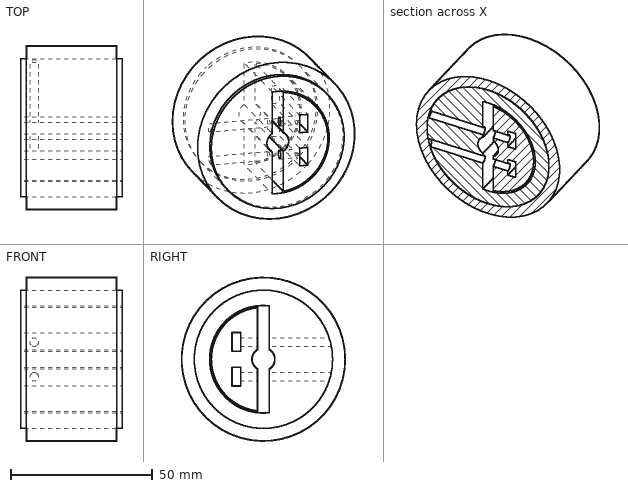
import cadquery as cq

tyre_diameter = 58.0
tyre_width = 32.0
hub_diameter = 49.0
hub_width = 36.0
pocket_diameter = 38.0
clamp_diameter = 37.0
shaft_diameter = 8.0
slot_width = 4.05
window_width = 3.0
window_height = 6.55
window_offset = 9.55
screw_spacing = 12.3
screw_diameter = 3.0
screw_inset = 4.7

slot_half = slot_width / 2
screw_x = screw_inset - hub_width / 2
screw_heights = [-screw_spacing / 2, screw_spacing / 2]


def axial_cylinder(diameter, length):
    """Cylinder along X, centred on the origin."""
    return cq.Workplane("YZ", origin=(-length / 2, 0, 0)).circle(diameter / 2).extrude(length)


def segment(diameter, flat_y):
    """Full-width part of a cylinder that lies on the -Y side of a flat at flat_y."""
    depth = flat_y + diameter / 2
    keep = cq.Workplane("XY").box(hub_width, depth, diameter)
    keep = keep.translate((0, flat_y - depth / 2, 0))
    return axial_cylinder(diameter, hub_width).intersect(keep)


def screw_hole(start_y, end_y, z):
    """Cutter along Y for one clamping screw."""
    return cq.Workplane(
        cq.Solid.makeCylinder(
            screw_diameter / 2, end_y - start_y, cq.Vector(screw_x, start_y, z), cq.Vector(0, 1, 0)
        )
    )


def make_tyre():
    return axial_cylinder(tyre_diameter, tyre_width).cut(axial_cylinder(hub_diameter, tyre_width))


def make_hub():
    hub = axial_cylinder(hub_diameter, hub_width)
    hub = hub.cut(segment(pocket_diameter, slot_half))
    hub = hub.cut(axial_cylinder(shaft_diameter, hub_width))
    for z in screw_heights:
        hub = hub.cut(screw_hole(0, hub_diameter / 2, z))
    return hub


def make_clamp():
    clamp = segment(clamp_diameter, -slot_half)
    clamp = clamp.cut(axial_cylinder(shaft_diameter, hub_width))
    for z in screw_heights:
        window = cq.Workplane("XY").box(hub_width, window_width, window_height)
        clamp = clamp.cut(window.translate((0, -window_offset, z)))
        clamp = clamp.cut(screw_hole(-window_offset, 0, z))
    return clamp


tyre = make_tyre()
hub = make_hub()
clamp = make_clamp()

result = cq.Compound.makeCompound([tyre.solids().val(), hub.solids().val(), clamp.solids().val()])